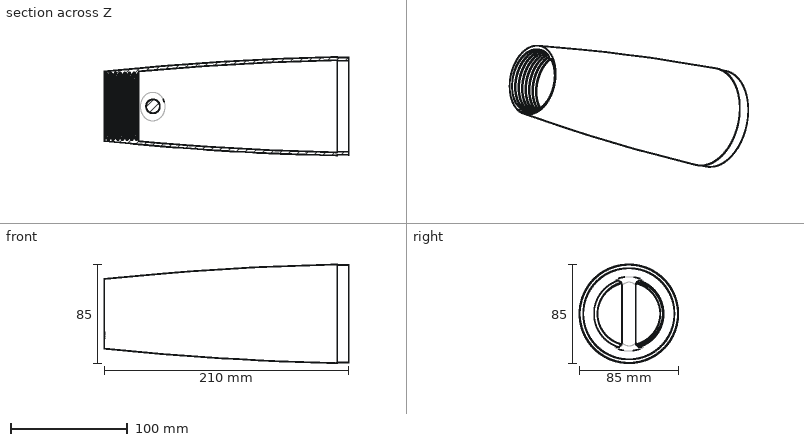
import cadquery as cq
import math

length = 210.0
collar_length = 10.0
mouth_radius = 30.0
middle_radius = 38.3
shoulder_radius = 42.5
collar_radius = 42.0
wall = 3.0
shoulder_x = length - collar_length
middle_x = shoulder_x / 2

thread_length = 30.0
thread_pitch = 4.0
thread_major_radius = 29.0
crest_flat = thread_pitch / 4
root_flat = thread_pitch / 8
flank_slope = math.tan(math.radians(30.0))
crest_half = (thread_pitch - crest_flat) / 2
root_half = root_flat / 2
thread_bore_radius = thread_major_radius - (crest_half - root_half) / flank_slope
thread_start_angle = 240.0
thread_lead_in = thread_pitch / 8
bore_overlap = 0.2

bar_radius = 6.0
bar_x = 42.0
bar_half_length = 31.5
bar_fillet = 4.5
joint_margin = 2.0


def taper(inset, end_radius):
    """Solid of revolution along the bowed taper, inset radially, with a straight end."""
    return (
        cq.Workplane("XY")
        .lineTo(0, mouth_radius - inset)
        .threePointArc((middle_x, middle_radius - inset), (shoulder_x, shoulder_radius - inset))
        .lineTo(shoulder_x, end_radius)
        .lineTo(length, end_radius)
        .lineTo(length, 0)
        .close()
        .revolve(360, (0, 0, 0), (1, 0, 0))
    )


def cylinder_x(start, end, radius):
    """Solid cylinder on the X axis."""
    return cq.Workplane("YZ").workplane(offset=start).circle(radius).extrude(end - start)


def make_body():
    """Tapered shell with an even wall, left solid where the thread goes."""
    behind_thread = cylinder_x(thread_length, length, shoulder_radius)
    cavity = taper(wall, collar_radius - wall).intersect(behind_thread)
    return taper(0, collar_radius).cut(cavity)


def add_bar(body):
    """Bar across the cavity, its ends set in the wall and blended with fillets."""
    bar = cq.Workplane("XY").center(bar_x, 0).circle(bar_radius).extrude(bar_half_length, both=True)
    reach = bar_radius + joint_margin
    height = bar_half_length + joint_margin
    near_bar = cq.selectors.BoxSelector((bar_x - reach, -reach, -height), (bar_x + reach, reach, height))
    return body.union(bar).edges(near_bar).edges("%BSPLINE").fillet(bar_fillet)


def make_thread_groove():
    """Helical groove that starts at the mouth and runs out past the end of the bore."""
    inner = thread_bore_radius - bore_overlap
    inner_half = crest_half + bore_overlap * flank_slope
    profile = cq.Wire.makePolygon(
        [
            cq.Vector(inner, 0, -inner_half),
            cq.Vector(thread_major_radius, 0, -root_half),
            cq.Vector(thread_major_radius, 0, root_half),
            cq.Vector(inner, 0, inner_half),
        ],
        close=True,
    )
    helix = cq.Wire.makeHelix(thread_pitch, thread_length + thread_pitch, thread_bore_radius)
    groove = cq.Solid.sweep(profile, [], helix, True, True)
    return (
        cq.Workplane(groove)
        .rotate((0, 0, 0), (0, 0, 1), thread_start_angle)
        .rotate((0, 0, 0), (0, 1, 0), 90)
        .translate((-thread_lead_in, 0, 0))
    )


result = add_bar(make_body())
result = result.cut(make_thread_groove(), clean=False)
result = result.cut(cylinder_x(0, thread_length, thread_bore_radius), clean=False)